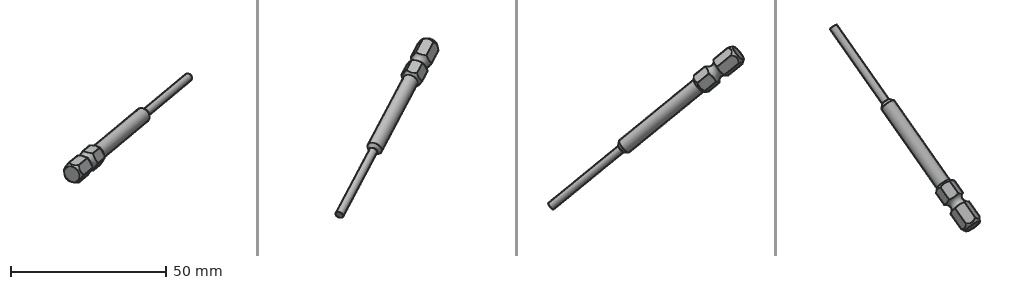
import cadquery as cq
import math

hex_across_flats = 6.3
shank_length = 17.0
tail_face_radius = 2.8
tail_bevel_angle = 30.0

groove_center = 9.3
groove_floor_radius = 2.4
groove_radius = 1.8

total_length = 80.0
body_diameter = 5.0
pin_diameter = 2.7
pin_length = 30.0
nose_length = 1.2
nose_tip_radius = 1.5

hex_corner_radius = hex_across_flats / math.sqrt(3)
body_radius = body_diameter / 2
pin_radius = pin_diameter / 2
body_end = total_length - pin_length


def revolve_about_y(profile):
    """Full turn about the Y axis of a closed profile drawn as (radius, Y)."""
    return profile.close().revolve(360, (0, 0, 0), (0, 1, 0))


def make_hex_shank():
    """Hexagonal bar along +Y with flats on top and bottom and coned ends."""
    bar = (
        cq.Workplane("XZ")
        .polygon(6, 2 * hex_corner_radius)
        .extrude(-shank_length)
    )
    tail_bevel_depth = hex_corner_radius - tail_face_radius
    tail_bevel_length = tail_bevel_depth / math.tan(math.radians(tail_bevel_angle))
    shoulder_length = hex_corner_radius - body_radius
    envelope = revolve_about_y(
        cq.Workplane("XY")
        .lineTo(tail_face_radius, 0)
        .lineTo(hex_corner_radius, tail_bevel_length)
        .lineTo(hex_corner_radius, shank_length - shoulder_length)
        .lineTo(body_radius, shank_length)
        .lineTo(0, shank_length)
    )
    return bar.intersect(envelope)


def make_groove():
    """Ring of circular section that cuts the retaining groove."""
    ring_radius = groove_floor_radius + groove_radius
    return (
        cq.Workplane("XY")
        .center(ring_radius, groove_center)
        .circle(groove_radius)
        .revolve(360, (-ring_radius, 0, 0), (-ring_radius, 1, 0))
    )


def make_body_and_pin():
    """Round body with a tapered nose, stepping down to the thin pin."""
    return revolve_about_y(
        cq.Workplane("XY")
        .moveTo(0, shank_length)
        .lineTo(body_radius, shank_length)
        .lineTo(body_radius, body_end - nose_length)
        .lineTo(nose_tip_radius, body_end)
        .lineTo(pin_radius, body_end)
        .lineTo(pin_radius, total_length)
        .lineTo(0, total_length)
    )


result = make_hex_shank().cut(make_groove()).union(make_body_and_pin())